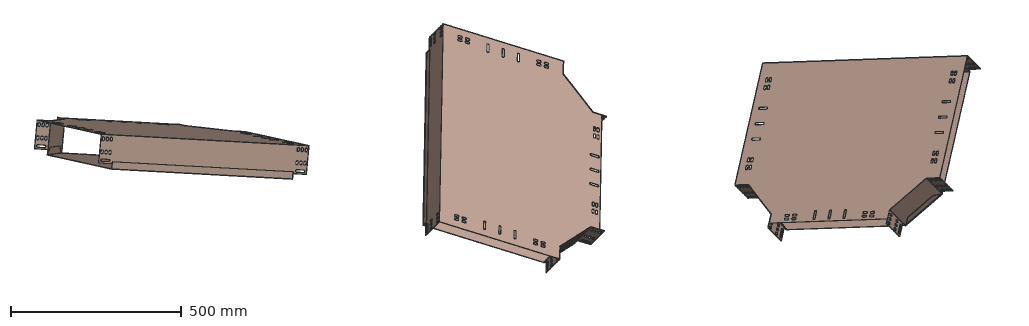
import cadquery as cq
import math


sheet = 1.0
run_length = 692.0
run_width = 402.0
branch_width = 401.0
tab_length = 45.0
branch_reach = 547.0
plate_setback = 15.5
tab_depth = 85.0
full_depth = 101.0
lip_height = 22.0

tab_hole_width = 6.5
tab_hole_height = 11.0
tab_hole_pitch = 13.0
tab_hole_inset = 21.0
tab_hole_depths = (13.0, 52.0)
tab_slot_depth = 76.0
tab_slot_length = 30.0

slot_width = 6.5
long_slot_length = 29.5
long_slot_inset = 37.0
long_slot_pitch = 51.0
short_slot_length = 14.0
short_slot_inset = 33.0
short_slot_row_pitch = 12.0
short_slot_column_pitch = 25.0
cluster_offset = 131.5

turn_x = -28.8
turn_y = 19.2
turn_z = 61.2

half_run = run_length / 2
half_branch = branch_width / 2
bend_x = half_run - tab_length
slant_run = bend_x - half_branch
bend_y = run_width + slant_run
clearance = 7.0


def mirrored(right_side):
    """Closed outline from its right-hand points, mirrored about X = 0."""
    return right_side + [(-x, y) for x, y in reversed(right_side)]


def prism(points, bottom, top):
    return cq.Workplane("XY").workplane(offset=bottom).polyline(points).close().extrude(top - bottom)


def tee_outline(inset, overrun, reach):
    """Tee outline with its walls moved in by inset and its run ends moved out by overrun."""
    bend_shift = inset * math.tan(math.radians(22.5))
    return mirrored([
        (half_run + overrun, inset),
        (half_run + overrun, run_width - inset),
        (bend_x - bend_shift, run_width - inset),
        (half_branch - inset, bend_y - bend_shift),
        (half_branch - inset, reach),
    ])


def cut_tab_holes(body):
    """Two rows of three holes and a slot through every connecting tab."""
    openings = [
        ("XZ", half_run - tab_hole_inset, branch_reach),
        ("XZ", -half_run + tab_hole_inset, branch_reach),
        ("YZ", branch_reach - tab_hole_inset, run_length),
    ]
    for plane, middle, depth in openings:
        holes = [(middle + i * tab_hole_pitch, -z) for i in (-1, 0, 1) for z in tab_hole_depths]
        oblong_holes = cq.Workplane(plane).pushPoints(holes).slot2D(tab_hole_height, tab_hole_width, 90)
        body = body.cut(oblong_holes.extrude(depth, both=True))
        slot = cq.Workplane(plane).center(middle, -tab_slot_depth).slot2D(tab_slot_length, slot_width)
        body = body.cut(slot.extrude(depth, both=True))
    return body


def opening_slots():
    """Plate slot cutters of one opening: its end lies on local Y = 0, the plate towards -Y."""
    cutters = cq.Workplane("XY")
    for i in (-1, 0, 1):
        long_slot = cq.Workplane("XY").center(i * long_slot_pitch, -long_slot_inset)
        cutters = cutters.add(long_slot.slot2D(long_slot_length, slot_width, 90).extrude(clearance, both=True))
    for side in (-1, 1):
        cluster = (
            cq.Workplane("XY")
            .center(side * cluster_offset, -short_slot_inset)
            .rarray(short_slot_column_pitch, short_slot_row_pitch, 2, 2)
            .slot2D(short_slot_length, slot_width)
            .extrude(clearance, both=True)
        )
        cutters = cutters.add(cluster)
    return cutters


def cut_plate_slots(body):
    """The same slot pattern near each of the three open ends."""
    axis = ((0, 0, 0), (0, 0, 1))
    openings = [
        (0, (0, branch_reach, 0)),
        (90, (-half_run, run_width / 2, 0)),
        (-90, (half_run, run_width / 2, 0)),
    ]
    for angle, place in openings:
        for cutter in opening_slots().vals():
            body = body.cut(cq.Workplane(cutter.rotate(*axis, angle).translate(place)))
    return body


def make_tray():
    wall_bottom = sheet - full_depth
    walls = prism(tee_outline(0, 0, branch_reach), wall_bottom, 0)
    walls = walls.cut(prism(tee_outline(sheet, clearance, branch_reach + clearance), -full_depth, clearance))

    for side in (-1, 1):
        below_run_tabs = cq.Workplane("XY").box(
            tab_length, branch_reach, full_depth - tab_depth, centered=(True, False, False)
        )
        walls = walls.cut(below_run_tabs.translate((side * (bend_x + tab_length / 2), 0, -full_depth)))
    below_branch_tabs = cq.Workplane("XY").box(
        branch_width, branch_reach - bend_y, full_depth - tab_depth, centered=(True, False, False)
    )
    walls = walls.cut(below_branch_tabs.translate((0, bend_y, -full_depth)))

    plate = prism(tee_outline(0, 0, branch_reach - plate_setback), -sheet, 0)
    return cut_tab_holes(cut_plate_slots(walls.union(plate)))


def make_slant_lip():
    """Mitred lip lapping the right-hand slanted wall."""
    slant_length = slant_run * math.sqrt(2)
    face = cq.Plane(
        origin=(bend_x, run_width, -full_depth), xDir=(-1, 1, 0), normal=(1, 1, 0)
    )
    corners = [
        (0, 0),
        (slant_length, 0),
        (slant_length - lip_height, lip_height),
        (lip_height, lip_height),
    ]
    return cq.Workplane(face).polyline(corners).close().extrude(sheet)


def make_cover():
    panel_outline = mirrored([(bend_x, -sheet), (bend_x, run_width), (half_branch, bend_y)])
    panel = prism(panel_outline, -full_depth, sheet - full_depth)
    back_lip = cq.Workplane("XY").box(2 * bend_x, sheet, lip_height, centered=(True, False, False))
    back_lip = back_lip.translate((0, -sheet, -full_depth))
    slant_lip = make_slant_lip()
    return panel.union(back_lip).union(slant_lip).union(slant_lip.mirror("YZ"))


def tilted(body):
    """Turn a finished body from the flat frame into its final attitude."""
    origin = (0, 0, 0)
    return (
        body.rotate(origin, (1, 0, 0), turn_x)
        .rotate(origin, (0, 1, 0), turn_y)
        .rotate(origin, (0, 0, 1), turn_z)
    )


tray = tilted(make_tray())
cover = tilted(make_cover())
result = cq.Compound.makeCompound([tray.val(), cover.val()])